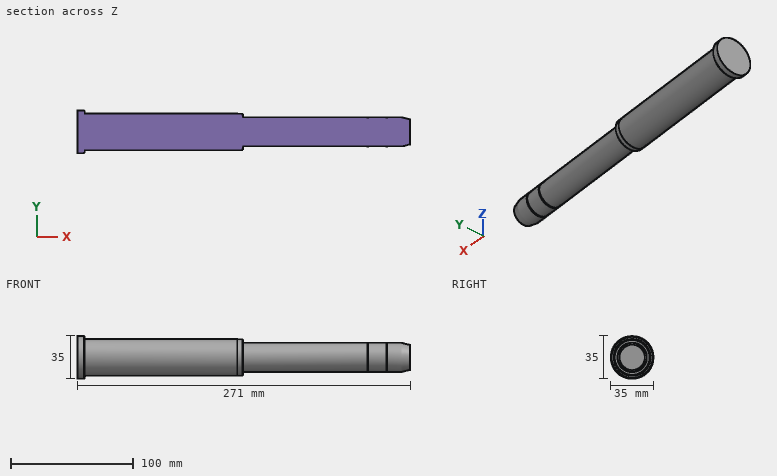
import cadquery as cq

total_length = 271.0

head_diameter = 35.0
head_length = 6.2
head_chamfer = 0.8

body_diameter = 30.0
body_end = 135.0
body_chamfer = 0.8
lead_relief = 0.08
lead_diameter = body_diameter - 2 * lead_relief
lead_length = 5.0

shank_diameter = 24.0
root_fillet = 0.5

nose_length = 7.0
tip_diameter = 20.5

groove_starts = (236.3, 251.8)
groove_width = 0.8
groove_depth = 0.3


def cylinder(start, end, diameter):
    """Solid cylinder on the X axis between two stations."""
    return cq.Workplane("YZ", origin=(start, 0, 0)).circle(diameter / 2).extrude(end - start)


def root_collar(start, diameter):
    """Concave flare blending a cylinder into the shoulder behind it."""
    radius = diameter / 2
    mid_offset = root_fillet * (1 - 0.5 ** 0.5)
    return (
        cq.Workplane("XY")
        .moveTo(start, 0)
        .lineTo(start, radius + root_fillet)
        .threePointArc((start + mid_offset, radius + mid_offset), (start + root_fillet, radius))
        .lineTo(start + root_fillet, 0)
        .close()
        .revolve(360, (0, 0, 0), (1, 0, 0))
    )


def groove(start):
    """Shallow ring cut into the shank."""
    ring = cylinder(start, start + groove_width, shank_diameter + 2 * groove_depth)
    core = cylinder(start, start + groove_width, shank_diameter - 2 * groove_depth)
    return ring.cut(core)


head = cylinder(0, head_length, head_diameter).edges(">X").chamfer(head_chamfer)

lead_start = body_end - lead_length
body = cylinder(head_length, lead_start, body_diameter)
lead = cylinder(lead_start, body_end, lead_diameter).edges(">X").chamfer(body_chamfer)

nose_start = total_length - nose_length
shank = cylinder(body_end, nose_start, shank_diameter)
nose = (
    cq.Workplane("YZ", origin=(nose_start, 0, 0))
    .circle(shank_diameter / 2)
    .workplane(offset=nose_length)
    .circle(tip_diameter / 2)
    .loft(ruled=True)
)

result = head.union(body).union(lead).union(shank).union(nose)
result = result.union(root_collar(head_length, body_diameter))
result = result.union(root_collar(body_end, shank_diameter))

for groove_start in groove_starts:
    result = result.cut(groove(groove_start))